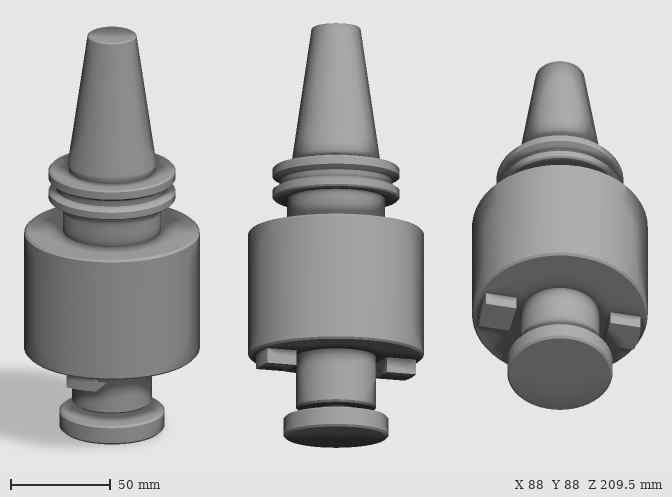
import cadquery as cq
import math

total_height = 209.5
taper_length = 68.5
gauge_height = total_height - taper_length
gauge_land = 0.6
neck_height = 3.1
flange_thickness = 16.0
flange_top = gauge_height - neck_height
flange_bottom = flange_top - flange_thickness
body_top = 105.1
body_bottom = 41.0
pilot_bottom = 14.0
head_height = 10.0

gauge_diameter = 44.4
taper_ratio = 7 / 24
taper_tip_diameter = gauge_diameter - taper_length * taper_ratio
neck_diameter = 43.5
flange_diameter = 63.7
groove_diameter = 56.5
collar_diameter = 49.0
body_diameter = 88.0
pilot_diameter = 40.0
shank_diameter = 20.0
head_diameter = 52.8

groove_drop_from_gauge = 11.3
groove_height = gauge_height - groove_drop_from_gauge
groove_floor_width = 3.0
groove_flank_angle = 30.0

tip_chamfer = 0.6
flange_chamfer = 0.8
body_chamfer = 1.0
pilot_chamfer = 1.0
head_chamfer = 1.0
shank_flare = 0.6

tenon_width = 16.1
tenon_drop = 7.5
tenon_inner_reach = 24.0
tenon_outer_radius = 40.5


def frustum(bottom, top, bottom_diameter, top_diameter):
    """Solid cone section centred on the tool axis."""
    cone = cq.Solid.makeCone(
        bottom_diameter / 2,
        top_diameter / 2,
        top - bottom,
        pnt=cq.Vector(0, 0, bottom),
    )
    return cq.Workplane(obj=cone)


def disc(bottom, top, diameter):
    """Solid cylinder centred on the tool axis."""
    return cq.Workplane(origin=(0, 0, bottom)).circle(diameter / 2).extrude(top - bottom)


def make_taper():
    taper = frustum(gauge_height, total_height, gauge_diameter, taper_tip_diameter)
    return taper.faces(">Z").chamfer(tip_chamfer)


def make_flange():
    """Gripper flange with chamfered rims and a V-groove."""
    flange = disc(flange_bottom, flange_top, flange_diameter)
    flange = flange.faces("<Z or >Z").chamfer(flange_chamfer)
    groove_depth = (flange_diameter - groove_diameter) / 2
    floor_half = groove_floor_width / 2
    mouth_half = floor_half + groove_depth * math.tan(math.radians(groove_flank_angle))
    groove = (
        cq.Workplane("XZ")
        .moveTo(groove_diameter / 2, groove_height - floor_half)
        .lineTo(groove_diameter / 2, groove_height + floor_half)
        .lineTo(flange_diameter / 2, groove_height + mouth_half)
        .lineTo(flange_diameter / 2, groove_height - mouth_half)
        .close()
        .revolve(360, (0, 0, 0), (0, 1, 0))
    )
    return flange.cut(groove)


def make_body():
    body = disc(body_bottom, body_top, body_diameter)
    return body.faces("<Z or >Z").chamfer(body_chamfer)


def make_pilot():
    pilot = disc(pilot_bottom, body_bottom, pilot_diameter)
    return pilot.faces("<Z").chamfer(pilot_chamfer)


def make_clamping_screw():
    """Screw head with a short shank that flares out where it meets the head."""
    head = disc(0, head_height, head_diameter).faces("<Z or >Z").chamfer(head_chamfer)
    shank = disc(head_height, pilot_bottom, shank_diameter)
    flare = frustum(
        head_height,
        head_height + shank_flare,
        shank_diameter + 2 * shank_flare,
        shank_diameter,
    )
    return head.union(shank).union(flare)


def make_tenons():
    """Two opposed tenons on the Y axis, rounded on the outside and flat on the inside."""
    bottom = body_bottom - tenon_drop
    ring = disc(bottom, body_bottom, 2 * tenon_outer_radius)
    bar = cq.Workplane(origin=(0, 0, bottom)).rect(tenon_width, body_diameter).extrude(tenon_drop)
    gap = cq.Workplane(origin=(0, 0, bottom)).rect(tenon_width, 2 * tenon_inner_reach).extrude(tenon_drop)
    return ring.intersect(bar).cut(gap)


def make_neck():
    """Relieved neck under the taper, topped by a thin land at the gauge diameter."""
    land_bottom = gauge_height - gauge_land
    neck = disc(flange_top, land_bottom, neck_diameter)
    return neck.union(disc(land_bottom, gauge_height, gauge_diameter))


collar = disc(body_top, flange_bottom, collar_diameter)

result = (
    make_body()
    .union(collar)
    .union(make_flange())
    .union(make_neck())
    .union(make_taper())
    .union(make_pilot())
    .union(make_clamping_screw())
    .union(make_tenons())
)